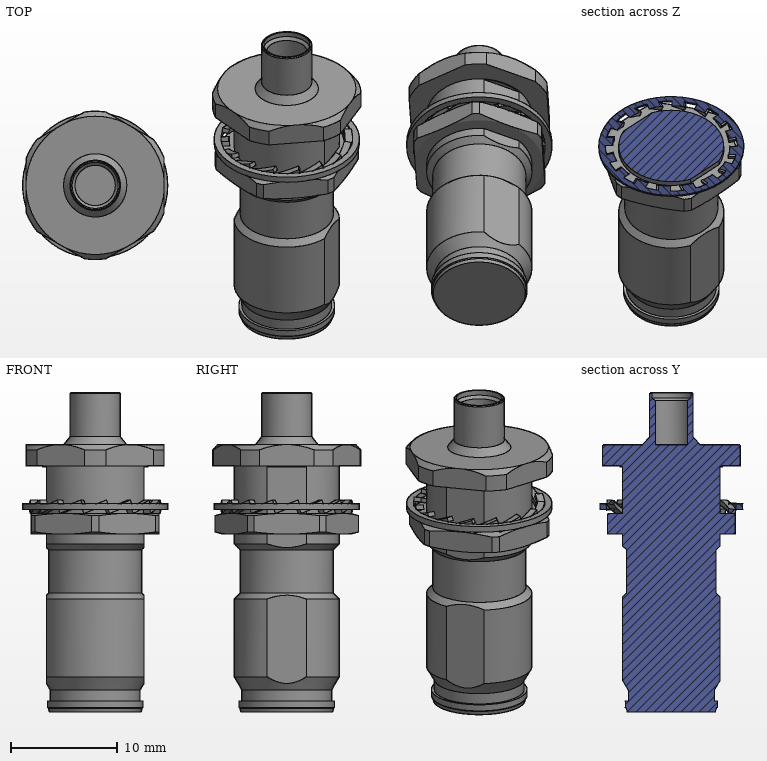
import cadquery as cq
import math

TOTAL_HEIGHT = 30.1
BARREL_R = 4.97
FLAT_X = 4.6
NECK_R = 4.4
GROOVE_R = 4.25

LIP_R = 4.5
LIP_TOP_Z = 1.05
LIP_STEP_Z = 0.45
LIP_STEP = 0.1
LIP_END_R = 4.33

GROOVE_TOP_Z = 2.08
LOWER_CONE_ANGLE = 30
GRIP_TOP_Z = 10.65
UPPER_BOTTOM_Z = 15.85

FLANGE_BOTTOM_Z = 23.2
FLANGE_TOP_Z = 25.2
FLANGE_ACROSS_FLATS = 13.0
FLANGE_CORNER_R = 14.0 / 2
FLANGE_BEVEL = 0.48
FLAT_GAP = 0.1

COLLAR_BOTTOM_Z = 16.77
COLLAR_TOP_Z = 18.72
COLLAR_ACROSS_FLATS = 12.07
COLLAR_CORNER_R = 6.77
COLLAR_BEVEL_DROP = 0.2

TUBE_R = 2.38
TUBE_FOOT_R = 2.98
TUBE_FOOT_TOP_Z = 25.95
TUBE_RIM_BEVEL = 0.1
TUBE_BORE_R = 1.9
TUBE_MOUTH_R = 2.17
TUBE_MOUTH_DEPTH = 0.48
TUBE_FUNNEL_DEPTH = 0.27

WASHER_R = 13.7 / 2
WASHER_BORE_R = 6.2
WASHER_THICKNESS = 0.57
TOOTH_COUNT = 16
TOOTH_INNER_R = 5.5
TOOTH_LENGTH = 2.45
TOOTH_THICKNESS = 0.42
TOOTH_TILT = 21


def revolve_profile(points):
    """Solid of revolution about Z from (radius, z) points."""
    return cq.Workplane("XZ").polyline(points).close().revolve(360, (0, 0, 0), (0, 1, 0))


def hexagon(across_flats, bottom_z, top_z):
    """Hexagonal prism with corners on the Y axis and flats on the X sides."""
    across_corners = across_flats / math.cos(math.pi / 6)
    prism = cq.Workplane("XY").polygon(6, across_corners).extrude(top_z - bottom_z)
    return prism.rotate((0, 0, 0), (0, 0, 1), 30).translate((0, 0, bottom_z))


def make_barrel():
    """Round barrel with its lip, groove and waist, flattened on both X sides."""
    lower_cone_height = (BARREL_R - GROOVE_R) / math.tan(math.radians(LOWER_CONE_ANGLE))
    neck_bevel = BARREL_R - NECK_R
    barrel = revolve_profile([
        (0, 0),
        (LIP_END_R, 0),
        (LIP_R - LIP_STEP, LIP_STEP_Z - LIP_STEP),
        (LIP_R, LIP_STEP_Z),
        (LIP_R, LIP_TOP_Z),
        (GROOVE_R, LIP_TOP_Z),
        (GROOVE_R, GROOVE_TOP_Z),
        (BARREL_R, GROOVE_TOP_Z + lower_cone_height),
        (BARREL_R, GRIP_TOP_Z),
        (NECK_R, GRIP_TOP_Z + neck_bevel),
        (NECK_R, UPPER_BOTTOM_Z - neck_bevel),
        (BARREL_R, UPPER_BOTTOM_Z),
        (BARREL_R, FLANGE_BOTTOM_Z),
        (0, FLANGE_BOTTOM_Z),
    ])
    flat_top_z = FLANGE_BOTTOM_Z - FLAT_GAP
    between_flats = cq.Workplane("XY").rect(2 * FLAT_X, 2 * BARREL_R).extrude(flat_top_z)
    round_strip = cq.Workplane("XY", origin=(0, 0, flat_top_z)).circle(BARREL_R).extrude(FLAT_GAP)
    return barrel.intersect(between_flats.union(round_strip))


def make_flange():
    """Hex flange with rounded corners and a bevel around its top face."""
    blank = revolve_profile([
        (0, FLANGE_BOTTOM_Z),
        (FLANGE_CORNER_R, FLANGE_BOTTOM_Z),
        (FLANGE_CORNER_R, FLANGE_TOP_Z - FLANGE_BEVEL),
        (FLANGE_CORNER_R - FLANGE_BEVEL, FLANGE_TOP_Z),
        (0, FLANGE_TOP_Z),
    ])
    return blank.intersect(hexagon(FLANGE_ACROSS_FLATS, FLANGE_BOTTOM_Z, FLANGE_TOP_Z))


def make_collar():
    """Hex collar with rounded corners, bevelled on its top and bottom."""
    face_r = COLLAR_ACROSS_FLATS / 2
    blank = revolve_profile([
        (0, COLLAR_BOTTOM_Z),
        (face_r, COLLAR_BOTTOM_Z),
        (COLLAR_CORNER_R, COLLAR_BOTTOM_Z + COLLAR_BEVEL_DROP),
        (COLLAR_CORNER_R, COLLAR_TOP_Z - COLLAR_BEVEL_DROP),
        (face_r, COLLAR_TOP_Z),
        (0, COLLAR_TOP_Z),
    ])
    return blank.intersect(hexagon(COLLAR_ACROSS_FLATS, COLLAR_BOTTOM_Z, COLLAR_TOP_Z))


def make_tube():
    """Cable tube on a conical foot, with a blind bore that widens at the mouth."""
    mouth_bottom_z = TOTAL_HEIGHT - TUBE_MOUTH_DEPTH
    return revolve_profile([
        (TUBE_BORE_R, FLANGE_TOP_Z),
        (TUBE_FOOT_R, FLANGE_TOP_Z),
        (TUBE_R, TUBE_FOOT_TOP_Z),
        (TUBE_R, TOTAL_HEIGHT - TUBE_RIM_BEVEL),
        (TUBE_R - TUBE_RIM_BEVEL, TOTAL_HEIGHT),
        (TUBE_MOUTH_R, TOTAL_HEIGHT),
        (TUBE_MOUTH_R, mouth_bottom_z),
        (TUBE_BORE_R, mouth_bottom_z - TUBE_FUNNEL_DEPTH),
    ])


def make_housing():
    """Barrel, collar, flange and tube joined into one body."""
    return make_barrel().union(make_collar()).union(make_flange()).union(make_tube())


def make_tooth(mid_z):
    """One flat tooth on the +X side, twisted about its radial axis."""
    plate_width = 2 * (WASHER_R - TOOTH_INNER_R)
    plate = (
        cq.Workplane("XY")
        .box(plate_width, TOOTH_LENGTH, TOOTH_THICKNESS)
        .translate((WASHER_BORE_R, 0, 0))
        .rotate((0, 0, 0), (1, 0, 0), TOOTH_TILT)
    )
    band = (
        cq.Workplane("XY")
        .circle(WASHER_BORE_R)
        .circle(TOOTH_INNER_R)
        .extrude(TOOTH_LENGTH, both=True)
    )
    return plate.intersect(band).translate((0, 0, mid_z))


def make_washer():
    """Flat ring with twisted inner teeth whose lower tips rest on the collar."""
    tilt = math.radians(TOOTH_TILT)
    tooth_half_height = (TOOTH_LENGTH * math.sin(tilt) + TOOTH_THICKNESS * math.cos(tilt)) / 2
    mid_z = COLLAR_TOP_Z + tooth_half_height
    washer = (
        cq.Workplane("XY", origin=(0, 0, mid_z - WASHER_THICKNESS / 2))
        .circle(WASHER_R)
        .circle(WASHER_BORE_R)
        .extrude(WASHER_THICKNESS)
    )
    tooth = make_tooth(mid_z)
    for index in range(TOOTH_COUNT):
        washer = washer.union(tooth.rotate((0, 0, 0), (0, 0, 1), index * 360 / TOOTH_COUNT))
    return washer


housing = make_housing()
washer = make_washer()
result = cq.Compound.makeCompound([housing.solids().val(), washer.solids().val()])